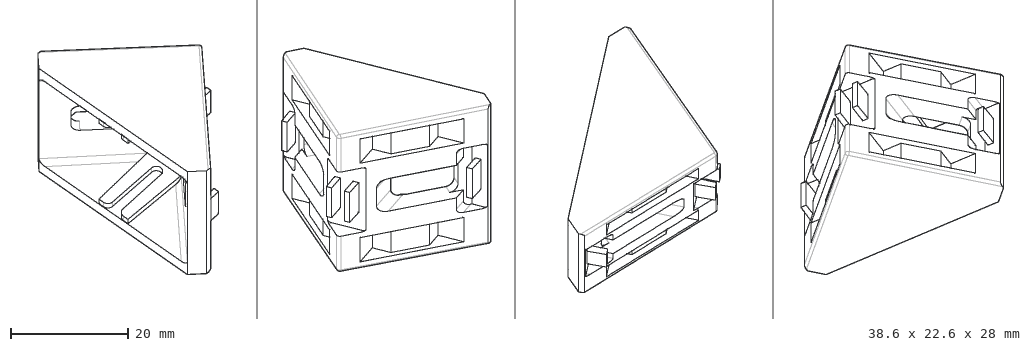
import cadquery as cq
import math

half_length = 19.3
half_height = 13.992
corner_y = 22.7
wall_normal = 4.05
wall_along_y = wall_normal * math.sqrt(2)
inner_corner_y = corner_y - wall_along_y
corner_radius = 0.58
edge_radius = 0.5
outer_draft = 0.5
inner_draft = 1.0

cavity_half_height = 11.5
cavity_corner_radius = 3.05
cavity_edge_radius = 1.0

pad_thickness = 1.2
pad_front_y = 0.08
pad_front_half_width = 3.32
pad_back_half_width = 3.82
pad_embed = 0.4
fork_end_radius = 1.1
fork_flare = 0.5
fork_center_y = 11.05
fork_mouth_radius = 1.12

hollow_reach = 3.1
hollow_height = 1.0
hollow_slope = 45.0

window_half_height = 3.3
window_near_x = 4.98
window_far_x = 13.1
window_radius = 1.5
half_depth_y = corner_y - 0.5 * wall_along_y

recess_half_height = 6.5
recess_radius = 0.93
corner_recess_half_width = 3.85
corner_recess_y = 19.05
end_recess_near_x = 15.2
end_recess_far_x = 19.45
end_recess_y = 3.5

tab_half_height = 3.0
tab_draft_step = 0.08
tab_embed = 0.4
corner_tab = (1.2, 2.28, corner_recess_y, 22.6)
end_tab = (16.9, 18.03, end_recess_y, 6.9)

pocket_low_z = 7.53
pocket_high_z = 12.43
pocket_near_x = 2.85
pocket_near_floor_y = 14.9
pocket_far_wall_y = 9.95
pocket_far_floor_y = 6.52
pocket_mid_depth = 1.0
pocket_mid_y = corner_y - pocket_mid_depth * math.sqrt(2)

beyond = 3.85


def prism(points, low_z, high_z):
    """Extrude an XY outline between two heights."""
    return cq.Workplane("XY", origin=(0, 0, low_z)).polyline(points).close().extrude(high_z - low_z)


def y_block(x1, x2, y1, y2, half_z):
    """Box centred on Z = 0."""
    return cq.Workplane("XY").box(x2 - x1, y2 - y1, 2 * half_z).translate(((x1 + x2) / 2, (y1 + y2) / 2, 0))


def drafted_slab(half_z, draft):
    """Slab across the whole part whose half height is half_z at Y = 0 and shrinks towards +Y."""
    slope = math.tan(math.radians(draft))
    front, back = -beyond, corner_y + beyond
    front_z, back_z = half_z - slope * front, half_z - slope * back
    outline = [(front, -front_z), (back, -back_z), (back, back_z), (front, front_z)]
    return cq.Workplane("YZ").polyline(outline).close().extrude(half_length + beyond, both=True)


def mirrored(shape, plane):
    return shape.union(shape.mirror(plane))


def make_block():
    side_y = corner_y - half_length
    chamfer = half_length - inner_corner_y
    outline = [
        (-inner_corner_y, 0), (inner_corner_y, 0), (half_length, chamfer), (half_length, side_y),
        (0, corner_y), (-half_length, side_y), (-half_length, chamfer),
    ]
    tall = half_height + beyond
    block = prism(outline, -tall, tall).intersect(drafted_slab(half_height, outer_draft))
    block = block.edges("|Z and >Y").fillet(corner_radius)
    return block.faces("<(1,-1,0) or <(-1,-1,0)").edges("not |Z").fillet(edge_radius)


def make_cavity():
    front_x = inner_corner_y + beyond
    outline = [(-front_x, -beyond), (front_x, -beyond), (0, inner_corner_y)]
    cavity = prism(outline, -half_height, half_height)
    cavity = cavity.intersect(drafted_slab(cavity_half_height, inner_draft))
    cavity = cavity.edges("|Z and >Y").fillet(cavity_corner_radius)
    return cavity.edges("not |Z").edges("not <Y").fillet(cavity_edge_radius)


def make_fork_slot():
    """Slot with a round end whose sides open slightly towards the front."""
    flare = math.radians(fork_flare)
    tangent_x = fork_end_radius * math.cos(flare)
    tangent_y = fork_center_y + fork_end_radius * math.sin(flare)
    front_x = tangent_x + (tangent_y + beyond) * math.tan(flare)
    slot = cq.Workplane("XY").moveTo(-front_x, -beyond).lineTo(-tangent_x, tangent_y)
    slot = slot.threePointArc((0, fork_center_y + fork_end_radius), (tangent_x, tangent_y))
    return slot.lineTo(front_x, -beyond).close().extrude(half_height, both=True)


def make_pads():
    apex_y = inner_corner_y + pad_embed
    outline = [
        (-pad_front_half_width, pad_front_y), (pad_front_half_width, pad_front_y),
        (pad_back_half_width, apex_y - pad_back_half_width), (0, apex_y),
        (-pad_back_half_width, apex_y - pad_back_half_width),
    ]
    pads = prism(outline, -half_height, half_height).cut(make_fork_slot())
    pads = pads.faces("<Y").edges("|Z").edges("not (<X or >X)").fillet(fork_mouth_radius)
    pads = pads.intersect(drafted_slab(cavity_half_height + pad_embed, inner_draft))
    return pads.cut(drafted_slab(cavity_half_height - pad_thickness, inner_draft))


def make_corner_hollows():
    """Small hip-roofed hollows above the pads, cut back into the rounded inner corner."""
    base_y = inner_corner_y - hollow_reach
    pad_z = cavity_half_height - pad_thickness - math.tan(math.radians(inner_draft)) * base_y
    base = [(-hollow_reach, base_y), (hollow_reach, base_y), (0, inner_corner_y)]
    hollow = cq.Workplane("XY", origin=(0, 0, -pad_z)).polyline(base).close()
    hollow = hollow.extrude(hollow_height, taper=hollow_slope)
    return mirrored(hollow, "XY")


def make_tab(inner_x, outer_x, root_y, tip_y):
    root = root_y - tab_embed
    outline = [(inner_x, root), (outer_x, root), (outer_x - tab_draft_step, tip_y), (inner_x, tip_y)]
    return mirrored(prism(outline, -tab_half_height, tab_half_height), "YZ")


def make_window():
    """Window through the +X wall, opening into the end recess over the outer half of the wall.

    The end near the corner runs along Y, the far end is square to the wall.
    """
    near_y = inner_corner_y - window_near_x
    far_y = inner_corner_y - window_far_x
    half_run = wall_along_y / 4
    outline = [
        (window_near_x, near_y - beyond), (window_near_x, corner_y), (end_recess_near_x, corner_y),
        (end_recess_near_x, half_depth_y - end_recess_near_x), (window_far_x + half_run, far_y + half_run),
        (window_far_x - beyond, far_y - beyond),
    ]
    window = prism(outline, -window_half_height, window_half_height)
    window = window.edges("|Y and <X").fillet(window_radius)
    return window.edges("|(1,1,0)").fillet(window_radius)


def make_end_recess():
    """Recess around the tab at the +X end: cut along Y, down to half the wall or to its level floor."""
    recess = y_block(end_recess_near_x, end_recess_far_x, end_recess_y, corner_y, recess_half_height)
    recess = recess.edges("|Y").fillet(recess_radius)
    edge = half_length + beyond
    outer_half = [(0, half_depth_y), (edge, half_depth_y - edge), (edge, corner_y), (0, corner_y)]
    return recess.intersect(prism(outer_half, -half_height, half_height))


def make_corner_recess():
    recess = y_block(
        -corner_recess_half_width, corner_recess_half_width, corner_recess_y, corner_y, recess_half_height
    )
    return recess.edges("|Y").fillet(recess_radius)


def make_pocket():
    """Stepped pocket in the +X face: two level steps joined by a sloping floor."""
    middle_x = pocket_mid_y - pocket_near_floor_y
    far_x = pocket_mid_y - pocket_far_wall_y
    outer_x = corner_y - pocket_far_floor_y
    outline = [
        (pocket_near_x, corner_y + beyond), (pocket_near_x, pocket_near_floor_y),
        (middle_x, pocket_near_floor_y), (far_x, pocket_far_wall_y),
        (far_x, pocket_far_floor_y), (outer_x, pocket_far_floor_y),
        (outer_x + beyond, pocket_far_floor_y + beyond),
    ]
    return mirrored(prism(outline, pocket_low_z, pocket_high_z), "XY")


result = make_block().cut(make_cavity()).cut(make_corner_hollows()).union(make_pads())
result = result.cut(make_corner_recess())
for cutter in (make_end_recess(), make_window(), make_pocket()):
    result = result.cut(mirrored(cutter, "YZ"))
result = result.union(make_tab(*corner_tab)).union(make_tab(*end_tab))